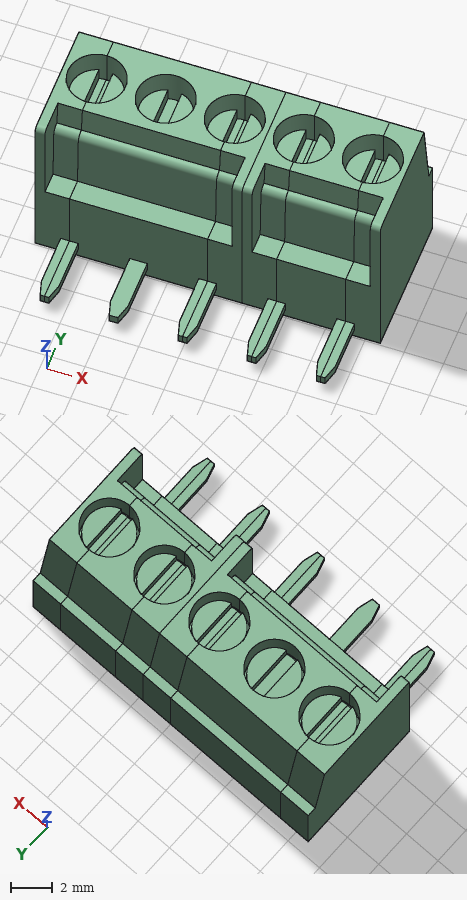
import cadquery as cq

POLES_PER_MODULE = (3, 2)
PITCH = 3.5
HALF_PITCH = PITCH / 2

DEPTH = 7.3
HEIGHT = 9.1
REAR_STEP_HEIGHT = 4.8
REAR_STEP_DEPTH = 0.5
REAR_TOP_SETBACK = 1.17
FRONT_TOP_RADIUS = 0.3

SIDE_WALL = 0.5
POCKET_FLOOR = 4.3
POCKET_FLOOR_DEPTH = 1.12
LEDGE_HEIGHT = 7.7
LIP_RADIUS = 0.38
LIP_FRONT = 1.22
LEDGE_REAR = 1.66
POCKET_TOP_DEPTH = 1.8

SCREW_Y = 3.8
RECESS_DIAMETER = 2.9
RECESS_DEPTH = 2.1
HEAD_DIAMETER = 2.65
HEAD_BELOW_TOP = 1.05
SLOT_WIDTH = 0.7
SLOT_DEPTH = 0.7

PIN_WIDTH = 0.9
PIN_TIP_WIDTH = PIN_WIDTH / 2
PIN_THICKNESS = 0.45
PIN_BOTTOM = 0.5
PIN_LENGTH = 3.5
PIN_TAPER_LENGTH = 0.8


def extrude_along_x(outline, x_start, x_end):
    """Extrude a closed YZ outline, drawn at X = 0, from x_start to x_end."""
    return outline.extrude(x_end - x_start).translate((x_start, 0, 0))


def housing_block(x_start, x_end):
    """Housing section with a rear step, a sloping rear and a rounded front top edge."""
    outline = (
        cq.Workplane("YZ")
        .lineTo(DEPTH, 0)
        .lineTo(DEPTH, REAR_STEP_HEIGHT)
        .lineTo(DEPTH - REAR_STEP_DEPTH, REAR_STEP_HEIGHT)
        .lineTo(DEPTH - REAR_TOP_SETBACK, HEIGHT)
        .lineTo(FRONT_TOP_RADIUS, HEIGHT)
        .radiusArc((0, HEIGHT - FRONT_TOP_RADIUS), -FRONT_TOP_RADIUS)
        .close()
    )
    return extrude_along_x(outline, x_start, x_end)


def front_pocket(x_start, x_end):
    """Pocket open to the front and top; its sloping rear wall has a ledge with a rounded lip."""
    outline = (
        cq.Workplane("YZ")
        .moveTo(0, POCKET_FLOOR)
        .lineTo(POCKET_FLOOR_DEPTH, POCKET_FLOOR)
        .lineTo(LIP_FRONT, LEDGE_HEIGHT - LIP_RADIUS)
        .radiusArc((LIP_FRONT + LIP_RADIUS, LEDGE_HEIGHT), LIP_RADIUS)
        .lineTo(LEDGE_REAR, LEDGE_HEIGHT)
        .lineTo(POCKET_TOP_DEPTH, HEIGHT)
        .lineTo(0, HEIGHT)
        .close()
    )
    return extrude_along_x(outline, x_start, x_end)


def screw_cylinder(pole_x, bottom, top, diameter):
    """Upright cylinder on the screw axis of one pole."""
    return (
        cq.Workplane("XY", origin=(pole_x, SCREW_Y, bottom))
        .circle(diameter / 2)
        .extrude(top - bottom)
    )


def screw_recess(pole_x):
    """Material to remove at one pole: a round hole that leaves a slotted screw head standing."""
    recess_floor = HEIGHT - RECESS_DEPTH
    head_top = HEIGHT - HEAD_BELOW_TOP
    recess = screw_cylinder(pole_x, recess_floor, HEIGHT, RECESS_DIAMETER)
    slot = (
        cq.Workplane("XY", origin=(pole_x, SCREW_Y, head_top - SLOT_DEPTH))
        .rect(SLOT_WIDTH, HEAD_DIAMETER)
        .extrude(SLOT_DEPTH)
    )
    head = screw_cylinder(pole_x, recess_floor, head_top, HEAD_DIAMETER).cut(slot)
    return recess.cut(head)


def solder_pin(pole_x):
    """Flat pin pointing forward from the front face, tapered in width at its tip."""
    half_width = PIN_WIDTH / 2
    half_tip = PIN_TIP_WIDTH / 2
    taper_start = PIN_TAPER_LENGTH - PIN_LENGTH
    return (
        cq.Workplane("XY", origin=(pole_x, 0, PIN_BOTTOM))
        .moveTo(-half_width, 0)
        .lineTo(-half_width, taper_start)
        .lineTo(-half_tip, -PIN_LENGTH)
        .lineTo(half_tip, -PIN_LENGTH)
        .lineTo(half_width, taper_start)
        .lineTo(half_width, 0)
        .close()
        .extrude(PIN_THICKNESS)
    )


def joint_slab(x_start, x_end):
    """Block from x_start to x_end that spans the housing and its pins in Y and Z."""
    slab = cq.Workplane("XY").box(x_end - x_start, DEPTH + PIN_LENGTH, HEIGHT, centered=False)
    return slab.translate((x_start, -PIN_LENGTH, 0))


def piece(x_start, x_end, pocket_start, pocket_end, poles):
    """One body: housing section with its screws and pins, cut off flat at x_start and x_end."""
    body = housing_block(x_start, x_end).cut(front_pocket(pocket_start, pocket_end))
    for pole_x in poles:
        body = body.cut(screw_recess(pole_x)).union(solder_pin(pole_x))
    return body.intersect(joint_slab(x_start, x_end))


def left_end(module_x):
    """Left end piece, from the module edge to the middle of the first pole."""
    joint = module_x + HALF_PITCH
    return piece(module_x, joint, module_x + SIDE_WALL, joint, [joint])


def middle(module_x, pole_count):
    """Middle piece, from the middle of the first pole to the middle of the last one."""
    poles = [module_x + HALF_PITCH + PITCH * index for index in range(pole_count)]
    return piece(poles[0], poles[-1], poles[0], poles[-1], poles)


def right_end(module_end):
    """Right end piece, from the middle of the last pole to the module edge."""
    joint = module_end - HALF_PITCH
    return piece(joint, module_end, joint, module_end - SIDE_WALL, [joint])


bodies = []
module_start = 0.0
for module_poles in POLES_PER_MODULE:
    next_module = module_start + PITCH * module_poles
    bodies.append(left_end(module_start).val())
    bodies.append(middle(module_start, module_poles).val())
    bodies.append(right_end(next_module).val())
    module_start = next_module

result = cq.Compound.makeCompound(bodies)